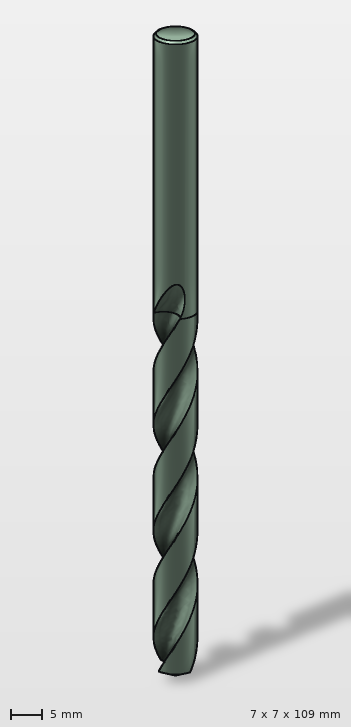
import cadquery as cq
import math

length = 109.0
diameter = 7.0
radius = diameter / 2
shank_bottom = 61.9
point_height = 1.6
shank_chamfer = 0.4

flute_count = 2
flute_pitch = 36.1
flute_radius = 2.6
flute_offset = 3.5
flute_end_angle = 86.0

flute_turn = 360 * shank_bottom / flute_pitch
flute_start_angle = flute_end_angle - flute_turn

runout_height = 13.1
runout_drift = runout_height * 2 * math.pi * flute_offset / flute_pitch
runout_lean = 14.0
runout_outward = runout_height * math.tan(math.radians(runout_lean))


def make_flute(angle):
    """Helical cutter from the point up to the shank, starting in the given direction."""
    return (
        cq.Workplane("XY")
        .center(flute_offset, 0)
        .circle(flute_radius)
        .center(-flute_offset, 0)
        .twistExtrude(shank_bottom, flute_turn)
        .rotate((0, 0, 0), (0, 0, 1), angle)
    )


def make_runout(angle):
    """Slanted straight cutter that carries one flute out through the side of the shank."""
    start = cq.Vector(flute_offset, 0, 0)
    end = start + cq.Vector(runout_outward, runout_drift, runout_height)
    path = cq.Workplane(cq.Edge.makeLine(start, end))
    return (
        cq.Workplane("XY")
        .center(flute_offset, 0)
        .circle(flute_radius)
        .sweep(path)
        .rotate((0, 0, 0), (0, 0, 1), angle)
        .translate((0, 0, shank_bottom))
    )


def make_fluted_body():
    """Cylinder with a conical point and helical flutes."""
    body = (
        cq.Workplane("XZ")
        .moveTo(0, 0)
        .lineTo(radius, point_height)
        .lineTo(radius, shank_bottom)
        .lineTo(0, shank_bottom)
        .close()
        .revolve(360, (0, 0, 0), (0, 1, 0))
    )
    for index in range(flute_count):
        body = body.cut(make_flute(flute_start_angle + index * 360 / flute_count))
    return body


def make_shank():
    """Plain chamfered cylinder with the flute run-outs at its lower end."""
    shank = (
        cq.Workplane("XY", origin=(0, 0, shank_bottom))
        .circle(radius)
        .extrude(length - shank_bottom)
        .faces(">Z")
        .chamfer(shank_chamfer)
    )
    for index in range(flute_count):
        shank = shank.cut(make_runout(flute_end_angle + index * 360 / flute_count))
    return shank


fluted_body = make_fluted_body()
shank = make_shank()

result = cq.Compound.makeCompound([*fluted_body.solids().vals(), *shank.solids().vals()])